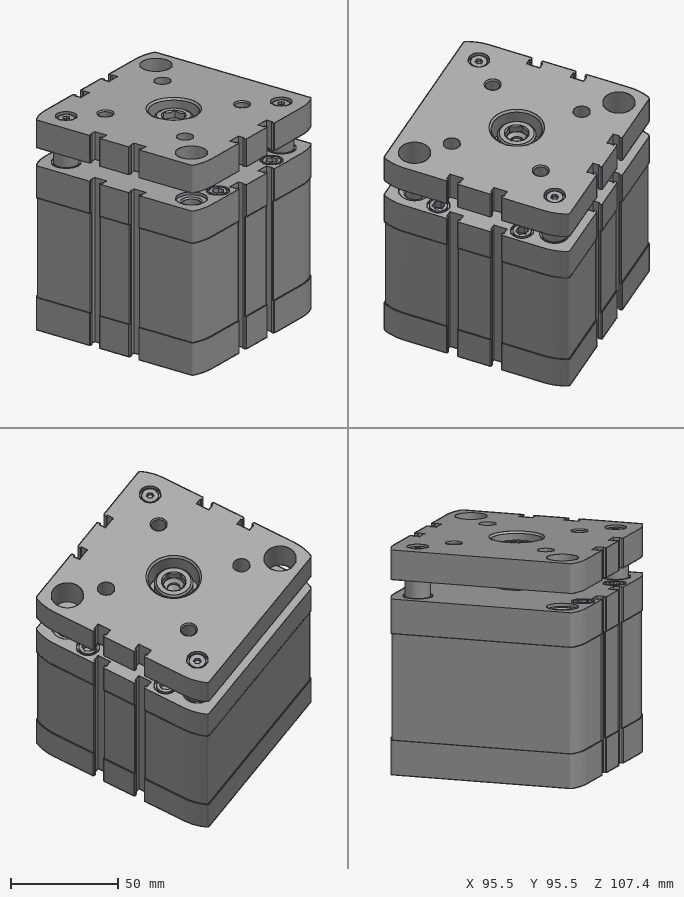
import cadquery as cq
import math

WIDTH = 95.5
TOTAL_HEIGHT = 107.4
HALF = WIDTH / 2

HOUSING_HEIGHT = 84.0
CAP_HEIGHT = 16.5
PLATE_THICKNESS = 14.2
PLATE_BOTTOM = TOTAL_HEIGHT - PLATE_THICKNESS
BARREL_INSET = 0.5

FLAT_HALF_LENGTH = 36.0
CORNER_RADIUS = 25.8
CORNER_FILLET = 1.5

SLOT_OFFSET = 11.3
SLOT_OPENING = 5.2
SLOT_WIDTH = 6.8
SLOT_LIP = 1.6
SLOT_DEPTH = 4.9
SLOT_LEAD_IN = 0.4

CORNER_PITCH = 36.0
GUIDE_POINTS = [(-CORNER_PITCH, -CORNER_PITCH), (CORNER_PITCH, CORNER_PITCH)]
MOUNTING_POINTS = [(-CORNER_PITCH, CORNER_PITCH), (CORNER_PITCH, -CORNER_PITCH)]
ROD_ENGAGEMENT = CAP_HEIGHT
ROD_BOTTOM = HOUSING_HEIGHT - ROD_ENGAGEMENT

GUIDE_ROD_DIAMETER = 12.0
GUIDE_RING_DIAMETER = 14.0
GUIDE_RING_DEPTH = 0.3
GUIDE_SCREW_BORE = 10.0
GUIDE_SCREW_HEAD = 8.0
GUIDE_SCREW_BORE_DEPTH = 1.7
GUIDE_SCREW_TOP_DEPTH = 0.9
GUIDE_SCREW_HEX = 3.0
GUIDE_SCREW_HEX_DEPTH = 1.6

MOUNTING_ACCESS_DIAMETER = 15.0
MOUNTING_COUNTERBORE = 14.8
MOUNTING_COUNTERBORE_DEPTH = 1.5
MOUNTING_HOLE = 8.5
MOUNTING_CHAMFER_DIAMETER = 10.0

CAP_SCREW_X = 40.8
CAP_SCREW_Y = 21.5
CAP_SCREW_BORE = 10.7
CAP_SCREW_HEAD = 8.6
CAP_SCREW_GAP_DEPTH = 1.1
CAP_SCREW_HEX = 5.0
CAP_SCREW_HEX_DEPTH = 3.8

PLATE_HOLE_PITCH = 22.9
PIN_POINTS = [(-PLATE_HOLE_PITCH, PLATE_HOLE_PITCH), (PLATE_HOLE_PITCH, -PLATE_HOLE_PITCH)]
THREAD_POINTS = [(-PLATE_HOLE_PITCH, -PLATE_HOLE_PITCH), (PLATE_HOLE_PITCH, PLATE_HOLE_PITCH)]
PIN_HOLE = 8.0
THREAD_HOLE = 6.7
THREAD_CHAMFER_DIAMETER = 8.0

PISTON_ROD_DIAMETER = 20.0
ROD_FLATS_WIDTH = 17.0
ROD_FLATS_HEIGHT = 2.5
ROD_FLATS_RUN_OUT = 0.9
RECESS_DIAMETER = 24.0
RECESS_CHAMFER_DIAMETER = 25.9
RECESS_DEPTH = 12.0
ROD_END_DIAMETER = 18.0
ROD_END_CHAMFER = 0.9
ROD_END_DEPTH = 3.3
ROD_HEX = 10.0
ROD_HEX_DEPTH = 3.7
PILOT_DIAMETER = 6.0
PILOT_DEPTH = 1.1
DRILL_HALF_ANGLE = 59.0


def across_corners(across_flats):
    return across_flats / math.cos(math.radians(30))


def cylinder(diameter, bottom, height, points=((0, 0),)):
    return (
        cq.Workplane("XY", origin=(0, 0, bottom))
        .pushPoints(points).circle(diameter / 2).extrude(height)
    )


def hex_prism(across_flats, bottom, height, points=((0, 0),)):
    return (
        cq.Workplane("XY", origin=(0, 0, bottom))
        .pushPoints(points).polygon(6, across_corners(across_flats)).extrude(height)
    )


def countersink(large, small, top, points):
    """45 degree cones that widen from the small to the large diameter at the top."""
    depth = (large - small) / 2
    cone = cq.Solid.makeCone(small / 2, large / 2, depth)
    return cq.Workplane("XY", origin=(0, 0, top - depth)).pushPoints(points).eachpoint(
        lambda place: cone.moved(place), True
    )


def drill_depth(large, small=0.0):
    """Height of a drill-point cone between two diameters."""
    return (large - small) / 2 / math.tan(math.radians(DRILL_HALF_ANGLE))


def block(bottom, height, inset=0.0):
    """Slotted cross-section along Z, its outline moved inwards all round by the inset."""
    side = HALF - inset
    radius = CORNER_RADIUS - inset
    arc_centre_x = HALF - CORNER_RADIUS
    full_angle = math.asin((side - FLAT_HALF_LENGTH) / radius)

    def arc_point(angle):
        return (arc_centre_x + radius * math.cos(angle), FLAT_HALF_LENGTH + radius * math.sin(angle))

    end_x, end_y = arc_point(full_angle)
    mid_x, mid_y = arc_point(full_angle / 2)
    return (
        cq.Workplane("XY", origin=(0, 0, bottom))
        .moveTo(side, -FLAT_HALF_LENGTH)
        .lineTo(side, FLAT_HALF_LENGTH)
        .threePointArc((mid_x, mid_y), (end_x, end_y))
        .lineTo(-end_x, end_y)
        .threePointArc((-mid_x, mid_y), (-side, FLAT_HALF_LENGTH))
        .lineTo(-side, -FLAT_HALF_LENGTH)
        .threePointArc((-mid_x, -mid_y), (-end_x, -end_y))
        .lineTo(end_x, -end_y)
        .threePointArc((mid_x, -mid_y), (side, -FLAT_HALF_LENGTH))
        .close()
        .extrude(height)
        .edges("|Z").edges(">Y or <Y").fillet(CORNER_FILLET - inset)
        .cut(slots(inset))
    )


def slots(inset):
    """T-slot cutters, two on each slotted side; the inset moves the mouth only."""
    face = -HALF + inset
    mouth = SLOT_OPENING / 2
    wide = SLOT_WIDTH / 2
    half_profile = [
        (mouth + SLOT_LEAD_IN, face),
        (mouth, face + SLOT_LEAD_IN),
        (mouth, -HALF + SLOT_LIP),
        (wide, -HALF + SLOT_LIP),
        (wide, -HALF + SLOT_DEPTH),
    ]
    profile = half_profile + [(-x, y) for x, y in reversed(half_profile)]
    slot = cq.Workplane("XY").polyline(profile).close().extrude(TOTAL_HEIGHT)
    cutters = cq.Workplane("XY")
    for side_angle in (-90, 0, 90):
        for offset in (-SLOT_OFFSET, SLOT_OFFSET):
            placed = slot.translate((offset, 0, 0)).rotate((0, 0, 0), (0, 0, 1), side_angle)
            cutters = cutters.add(placed)
    return cutters.combine()


def rods(diameter, points):
    """Straight rods from inside the housing to the underside of the plate."""
    return cylinder(diameter, ROD_BOTTOM, PLATE_BOTTOM - ROD_BOTTOM, points)


def make_housing():
    body = block(0, CAP_HEIGHT)
    body = body.union(block(CAP_HEIGHT, HOUSING_HEIGHT - 2 * CAP_HEIGHT, BARREL_INSET))
    body = body.union(block(HOUSING_HEIGHT - CAP_HEIGHT, CAP_HEIGHT))

    body = body.cut(rods(PISTON_ROD_DIAMETER, [(0, 0)]))
    body = body.cut(rods(GUIDE_ROD_DIAMETER, GUIDE_POINTS))
    body = body.cut(
        cylinder(GUIDE_RING_DIAMETER, HOUSING_HEIGHT - GUIDE_RING_DEPTH, GUIDE_RING_DEPTH, GUIDE_POINTS)
    )

    counterbore_floor = HOUSING_HEIGHT - MOUNTING_COUNTERBORE_DEPTH
    body = body.cut(cylinder(MOUNTING_HOLE, 0, HOUSING_HEIGHT, MOUNTING_POINTS))
    body = body.cut(
        cylinder(MOUNTING_COUNTERBORE, counterbore_floor, MOUNTING_COUNTERBORE_DEPTH, MOUNTING_POINTS)
    )
    body = body.cut(
        countersink(MOUNTING_CHAMFER_DIAMETER, MOUNTING_HOLE, counterbore_floor, MOUNTING_POINTS)
    )

    screws = [(x, y) for x in (-CAP_SCREW_X, CAP_SCREW_X) for y in (-CAP_SCREW_Y, CAP_SCREW_Y)]
    gap_floor = HOUSING_HEIGHT - CAP_SCREW_GAP_DEPTH
    gaps = cylinder(CAP_SCREW_BORE, gap_floor, CAP_SCREW_GAP_DEPTH, screws)
    gaps = gaps.cut(cylinder(CAP_SCREW_HEAD, gap_floor, CAP_SCREW_GAP_DEPTH, screws))
    sockets = hex_prism(
        CAP_SCREW_HEX, HOUSING_HEIGHT - CAP_SCREW_HEX_DEPTH, CAP_SCREW_HEX_DEPTH, screws
    )
    return body.cut(gaps).cut(sockets)


def make_plate():
    plate = block(PLATE_BOTTOM, PLATE_THICKNESS)
    plate = plate.cut(cylinder(MOUNTING_ACCESS_DIAMETER, PLATE_BOTTOM, PLATE_THICKNESS, MOUNTING_POINTS))
    plate = plate.cut(cylinder(PIN_HOLE, PLATE_BOTTOM, PLATE_THICKNESS, PIN_POINTS))
    plate = plate.cut(cylinder(THREAD_HOLE, PLATE_BOTTOM, PLATE_THICKNESS, THREAD_POINTS))
    plate = plate.cut(countersink(THREAD_CHAMFER_DIAMETER, THREAD_HOLE, TOTAL_HEIGHT, THREAD_POINTS))

    bore_floor = TOTAL_HEIGHT - GUIDE_SCREW_BORE_DEPTH
    head_top = TOTAL_HEIGHT - GUIDE_SCREW_TOP_DEPTH
    plate = plate.cut(cylinder(GUIDE_SCREW_BORE, bore_floor, GUIDE_SCREW_BORE_DEPTH, GUIDE_POINTS))
    plate = plate.union(cylinder(GUIDE_SCREW_HEAD, bore_floor, head_top - bore_floor, GUIDE_POINTS))
    plate = plate.cut(
        hex_prism(GUIDE_SCREW_HEX, head_top - GUIDE_SCREW_HEX_DEPTH, GUIDE_SCREW_HEX_DEPTH, GUIDE_POINTS)
    )

    plate = plate.cut(cylinder(RECESS_DIAMETER, TOTAL_HEIGHT - RECESS_DEPTH, RECESS_DEPTH))
    return plate.cut(countersink(RECESS_CHAMFER_DIAMETER, RECESS_DIAMETER, TOTAL_HEIGHT, [(0, 0)]))


def make_piston_rod():
    rod = rods(PISTON_ROD_DIAMETER, [(0, 0)])

    flat = ROD_FLATS_WIDTH / 2
    outer = PISTON_ROD_DIAMETER / 2
    flats_bottom = HOUSING_HEIGHT + ROD_FLATS_HEIGHT
    flat_cutter = (
        cq.Workplane("YZ", origin=(-outer, 0, 0))
        .polyline([
            (flat, PLATE_BOTTOM),
            (flat, flats_bottom),
            (outer, flats_bottom - ROD_FLATS_RUN_OUT),
            (outer, PLATE_BOTTOM),
        ])
        .close().extrude(PISTON_ROD_DIAMETER)
    )
    rod = rod.cut(flat_cutter).cut(flat_cutter.mirror("XZ"))

    end_top = TOTAL_HEIGHT - ROD_END_DEPTH
    end = cylinder(ROD_END_DIAMETER, PLATE_BOTTOM, end_top - PLATE_BOTTOM)
    rod = rod.union(end.faces(">Z").chamfer(ROD_END_CHAMFER))
    return rod.cut(rod_socket(end_top))


def rod_socket(top):
    """Chamfered hexagon socket that tapers into a small drilled pilot hole."""
    hex_floor = top - ROD_HEX_DEPTH
    taper = drill_depth(ROD_HEX, PILOT_DIAMETER)
    pilot_top = hex_floor - taper
    pilot_floor = pilot_top - PILOT_DEPTH
    profile = [
        (0, hex_floor),
        (ROD_HEX / 2, hex_floor),
        (PILOT_DIAMETER / 2, pilot_top),
        (PILOT_DIAMETER / 2, pilot_floor),
        (0, pilot_floor - drill_depth(PILOT_DIAMETER)),
    ]
    drilled = cq.Workplane("XZ").polyline(profile).close().revolve(360, (0, 0, 0), (0, 1, 0))
    socket = hex_prism(ROD_HEX, hex_floor, ROD_HEX_DEPTH).union(drilled)
    return socket.union(countersink(across_corners(ROD_HEX), ROD_HEX, top, [(0, 0)]))


def make_moving_unit():
    """Yoke plate with its piston rod and guide rods, joined into one body."""
    unit = make_plate().union(make_piston_rod())
    return unit.union(rods(GUIDE_ROD_DIAMETER, GUIDE_POINTS))


housing = make_housing()
moving_unit = make_moving_unit()

result = cq.Compound.makeCompound([housing.val(), moving_unit.val()])